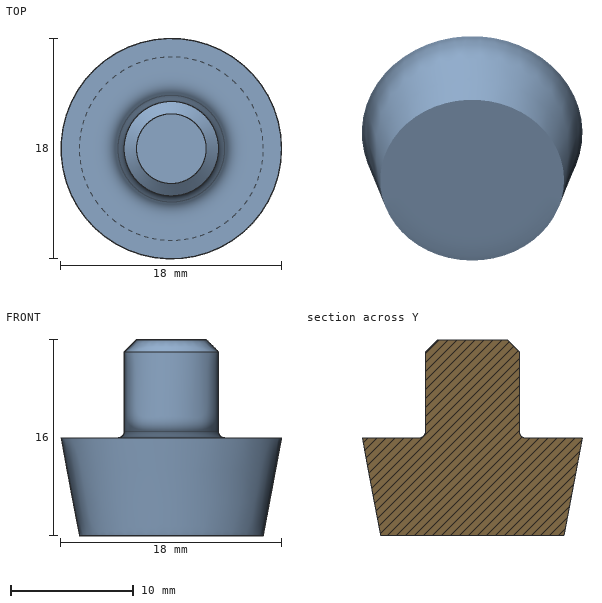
import cadquery as cq

head_top_diameter = 18.0
head_bottom_diameter = 15.0
head_height = 8.0

total_height = 16.0
pin_diameter = 7.7
tip_chamfer = 1.0
root_fillet = 0.5

head_top_radius = head_top_diameter / 2
head_bottom_radius = head_bottom_diameter / 2
pin_radius = pin_diameter / 2

profile = (
    cq.Workplane("XZ")
    .moveTo(0, 0)
    .lineTo(head_bottom_radius, 0)
    .lineTo(head_top_radius, head_height)
    .lineTo(pin_radius + root_fillet, head_height)
    .radiusArc((pin_radius, head_height + root_fillet), root_fillet)
    .lineTo(pin_radius, total_height - tip_chamfer)
    .lineTo(pin_radius - tip_chamfer, total_height)
    .lineTo(0, total_height)
    .close()
)

result = profile.revolve(360, (0, 0, 0), (0, 1, 0))